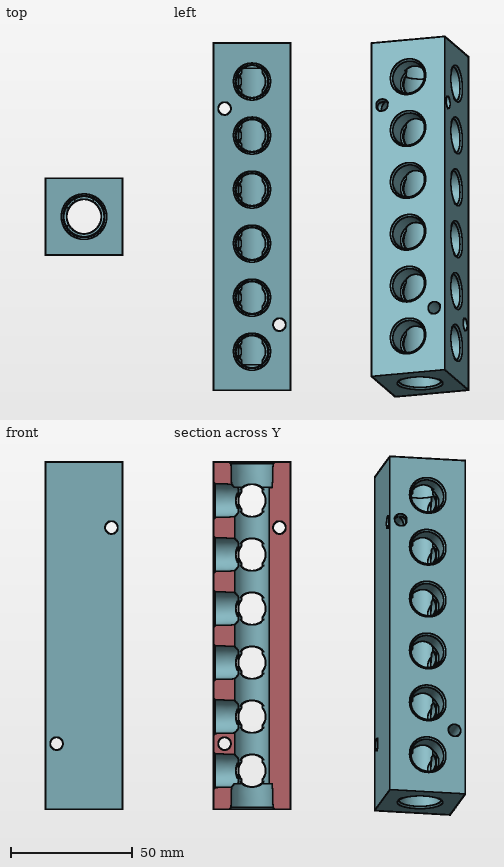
import cadquery as cq

length = 142.9
width = 31.7
half_width = width / 2

port_taper = 1 / 16

bore_diameter = 14.1
end_port_mouth = 18.7
end_port_diameter = 17.1
end_port_depth = 10.5

side_port_count = 6
side_port_pitch = length * 7 / 45
side_port_mouth = 15.3
side_port_diameter = 13.7
side_port_depth = 10.1
side_drill_diameter = 11.1

mount_diameter = 5.1
mount_offset = 11.3
mount_height = (side_port_count - 2) * side_port_pitch / 2


def tapered_port(mouth, diameter, depth):
    """Flat-bottomed port opening at Z = 0 and running down -Z: 45 degree mouth chamfer, then tapered wall."""
    mouth_radius = mouth / 2
    radius = diameter / 2
    chamfer = mouth_radius - radius
    floor_radius = radius - (depth - chamfer) * port_taper / 2
    profile = (
        cq.Workplane("XZ")
        .moveTo(0, 0)
        .lineTo(mouth_radius, 0)
        .lineTo(radius, -chamfer)
        .lineTo(floor_radius, -depth)
        .lineTo(0, -depth)
        .close()
    )
    return profile.revolve(360, (0, 0, 0), (0, 1, 0))


result = cq.Workplane("XY").box(width, width, length)
bore = cq.Workplane("XY").circle(bore_diameter / 2).extrude(length / 2, both=True)
result = result.cut(bore)

end_port = tapered_port(end_port_mouth, end_port_diameter, end_port_depth)
end_port = end_port.translate((0, 0, length / 2))
result = result.cut(end_port).cut(end_port.mirror("XY"))

side_drill = cq.Workplane("XY").circle(side_drill_diameter / 2).extrude(-half_width)
side_port = tapered_port(side_port_mouth, side_port_diameter, side_port_depth).union(side_drill)
left_port = side_port.rotate((0, 0, 0), (0, 1, 0), -90).translate((-half_width, 0, 0))
back_port = left_port.rotate((0, 0, 0), (0, 0, 1), -90)
for index in range(side_port_count):
    height = (index - (side_port_count - 1) / 2) * side_port_pitch
    for port in (left_port, back_port):
        result = result.cut(port.translate((0, 0, height)))

mount_points = [(mount_offset, mount_height), (-mount_offset, -mount_height)]
for plane in ("XZ", "YZ"):
    holes = (
        cq.Workplane(plane)
        .pushPoints(mount_points)
        .circle(mount_diameter / 2)
        .extrude(half_width, both=True)
    )
    result = result.cut(holes)